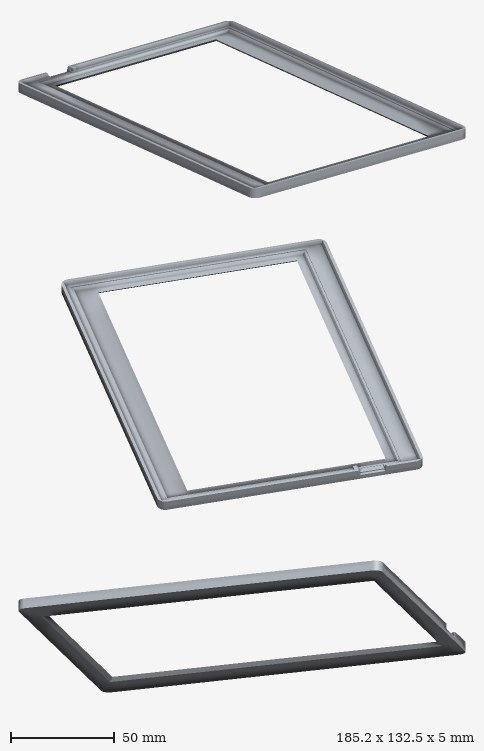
import cadquery as cq

length = 185.2
width = 132.5
height = 5.0
corner_radius = 4.0

opening_side_margin = 10.0
opening_end_margin = 16.7

rim_width = 1.5
rim_slope = 1.0
ledge_z = 3.3
ledge_side_inset = 4.3
ledge_bottom_inset = 10.5
step_width = 1.1
step_z = 3.0
floor_slope = 1.0
floor_z = 1.9

notch_top_y = -33.7
notch_length = 13.7
notch_floor_z = 2.2
notch_shelf_z = 2.8
notch_end_slope = 0.7
bridge_width = 2.0


def inset_rectangle(z, side_inset, bottom_inset):
    """Rectangle at height z, inset from the outer frame, with its own bottom inset."""
    return (
        cq.Workplane("XY", origin=(0, (bottom_inset - side_inset) / 2, z))
        .rect(length - 2 * side_inset, width - side_inset - bottom_inset)
    )


def straight_recess(bottom_z, top_z, side_inset, bottom_inset):
    return inset_rectangle(bottom_z, side_inset, bottom_inset).extrude(top_z - bottom_z)


def sloped_recess(bottom_z, top_z, side_inset, bottom_inset, slope):
    """Recess whose walls lean inward by the given slope width from top_z down to bottom_z."""
    lower = inset_rectangle(bottom_z, side_inset + slope, bottom_inset + slope)
    return (
        lower.workplane(offset=top_z - bottom_z)
        .rect(length - 2 * side_inset, width - side_inset - bottom_inset)
        .loft(ruled=True)
    )


def notch_prism(bottom_z, depth):
    """Prism reaching in from the left face, with ends that taper down to bottom_z."""
    bottom_y = notch_top_y - notch_length
    return (
        cq.Workplane("YZ", origin=(-length / 2, 0, 0))
        .moveTo(bottom_y, height)
        .lineTo(notch_top_y, height)
        .lineTo(notch_top_y - notch_end_slope, bottom_z)
        .lineTo(bottom_y + notch_end_slope, bottom_z)
        .close()
        .extrude(depth)
    )


def left_wall_notch():
    """Notch with a deep outer part in the rim and a higher shelf behind it."""
    outer_part = notch_prism(notch_floor_z, rim_width)
    shelf_part = notch_prism(notch_shelf_z, ledge_side_inset)
    return outer_part.union(shelf_part)


def notch_bridge():
    """Block joining the rim to the inner edge of the ledge beside the notch."""
    bridge_length = ledge_side_inset - rim_width / 2
    return cq.Workplane("XY").box(
        bridge_length, bridge_width, height - floor_z, centered=False
    ).translate((-length / 2 + rim_width / 2, notch_top_y, floor_z))


frame = (
    cq.Workplane("XY")
    .rect(length, width)
    .extrude(height)
    .edges("|Z")
    .fillet(corner_radius)
)

frame = frame.cut(sloped_recess(ledge_z, height, rim_width, rim_width, rim_slope))
frame = frame.cut(straight_recess(step_z, ledge_z, ledge_side_inset, ledge_bottom_inset))
frame = frame.cut(
    sloped_recess(
        floor_z,
        step_z,
        ledge_side_inset + step_width,
        ledge_bottom_inset + step_width,
        floor_slope,
    )
)

opening_length = length - 2 * opening_side_margin
opening_width = width - 2 * opening_end_margin
opening = (
    cq.Workplane("XY")
    .rect(opening_length + 2 * floor_z, opening_width + 2 * floor_z)
    .workplane(offset=floor_z)
    .rect(opening_length, opening_width)
    .loft(ruled=True)
)
frame = frame.cut(opening)

result = frame.union(notch_bridge()).cut(left_wall_notch())